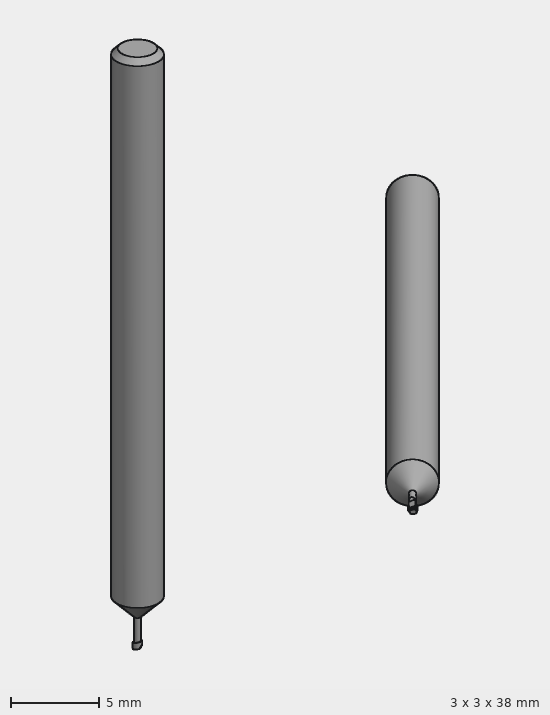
import cadquery as cq

total_length = 38.0
shank_radius = 1.5
top_chamfer = 0.38
shank_bottom = 3.3
neck_radius = 0.21
cone_height = shank_radius - neck_radius
neck_top = shank_bottom - cone_height

head_radius = 0.285
tip_x = -0.17
head_low_bottom = 0.08
head_low_top = 0.35
head_high_bottom = 0.25
head_high_top = 0.55
neck_bottom = 0.35

relief_top = 1.2
relief_ramp_bottom = 1.03
relief_face_y = 0.08
rake_top = 0.25
rake_bottom = 0.2
rake_face_y = 0.0
relief_outer_y = 2 * head_radius
relief_width = 4 * head_radius


def make_body():
    """Shank with top chamfer, cone and thin neck, revolved about Z."""
    return (
        cq.Workplane("XZ")
        .moveTo(0, neck_bottom)
        .lineTo(neck_radius, neck_bottom)
        .lineTo(neck_radius, neck_top)
        .lineTo(shank_radius, shank_bottom)
        .lineTo(shank_radius, total_length - top_chamfer)
        .lineTo(shank_radius - top_chamfer, total_length)
        .lineTo(0, total_length)
        .close()
        .revolve(360, (0, 0, 0), (0, 1, 0))
    )


def make_head():
    """Round cutting head whose upper and lower faces slope down toward -X."""
    outline = [
        (-head_radius, head_low_bottom),
        (tip_x, 0),
        (neck_radius, head_low_bottom),
        (head_radius, head_high_bottom),
        (head_radius, head_high_top),
        (-head_radius, head_low_top),
    ]
    slab = cq.Workplane("XZ").polyline(outline).close().extrude(head_radius, both=True)
    blank = cq.Workplane("XY").circle(head_radius).extrude(head_high_top)
    return slab.intersect(blank)


def make_relief():
    """Material removed on +Y: a ramp, a flat face and a stepped rake face."""
    outline = [
        (neck_radius, relief_top),
        (relief_face_y, relief_ramp_bottom),
        (relief_face_y, rake_top),
        (rake_face_y, rake_bottom),
        (rake_face_y, 0),
        (relief_outer_y, 0),
        (relief_outer_y, relief_top),
    ]
    return cq.Workplane("YZ").polyline(outline).close().extrude(relief_width / 2, both=True)


result = make_body().union(make_head()).cut(make_relief())